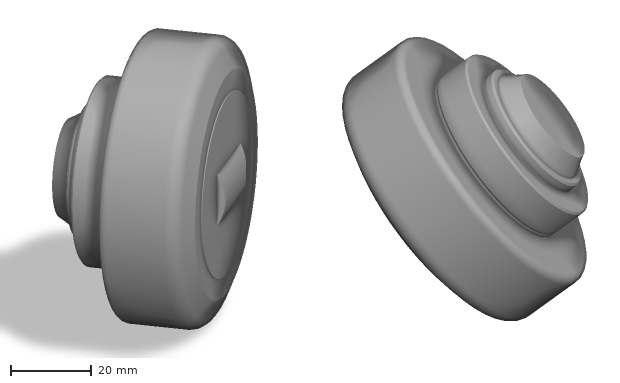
import cadquery as cq

collar_start = 4.9
hub_start = 8.0
disc_start = 18.45
tread_end = 35.5
bevel_start = 39.4
disc_end = 41.5
overall_length = 44.0

stud_radius = 12.5
stud_base_radius = 15.5
collar_radius = 17.5
hub_radius = 24.0
disc_radius = 36.9
bevel_radius = 34.2
disc_face_radius = 29.1
cover_radius = 23.6

stud_flare_sag = 0.15
edge_chamfer = 0.5
collar_fillet = 0.45
groove_depth = 0.45
groove_end_gap = 0.3
disc_round = 2.1
cover_step = 0.3
cover_apex = 42.15

bar_half_width = 6.8
bar_half_length = 10.8
bar_corner_round = 1.7
bar_embed = 0.6


def make_body():
    """Stud, collar, hub, disc and cover turned about the X axis."""
    groove_end = disc_start - groove_end_gap
    groove_bottom = groove_end - groove_depth
    groove_start = groove_bottom - groove_depth
    dome_rise = cover_apex - disc_end - cover_step
    dome_radius = (cover_radius**2 + dome_rise**2) / (2 * dome_rise)
    stud_mid_radius = (stud_radius + stud_base_radius) / 2 - stud_flare_sag
    profile = (
        cq.Workplane("XY")
        .moveTo(0, 0)
        .lineTo(0, stud_radius)
        .threePointArc((collar_start / 2, stud_mid_radius), (collar_start, stud_base_radius))
        .lineTo(collar_start, collar_radius - edge_chamfer)
        .lineTo(collar_start + edge_chamfer, collar_radius)
        .lineTo(hub_start - collar_fillet, collar_radius)
        .radiusArc((hub_start, collar_radius + collar_fillet), -collar_fillet)
        .lineTo(hub_start, hub_radius - edge_chamfer)
        .lineTo(hub_start + edge_chamfer, hub_radius)
        .lineTo(groove_start, hub_radius)
        .lineTo(groove_bottom, hub_radius - groove_depth)
        .lineTo(groove_end, hub_radius)
        .lineTo(disc_start, hub_radius)
        .lineTo(disc_start, disc_radius - disc_round)
        .radiusArc((disc_start + disc_round, disc_radius), disc_round)
        .lineTo(tread_end, disc_radius)
        .tangentArcPoint((bevel_start, bevel_radius), relative=False)
        .lineTo(disc_end, disc_face_radius)
        .lineTo(disc_end, cover_radius)
        .lineTo(disc_end + cover_step, cover_radius)
        .radiusArc((cover_apex, 0), dome_radius)
        .close()
    )
    return profile.revolve(360, (0, 0, 0), (1, 0, 0))


def make_bar():
    """Bar along Y with a crowned outer face and rounded ends."""
    base = cover_apex - bar_embed
    crowned = (
        cq.Workplane("XZ")
        .moveTo(base, -bar_half_width)
        .lineTo(cover_apex, -bar_half_width)
        .threePointArc((overall_length, 0), (cover_apex, bar_half_width))
        .lineTo(base, bar_half_width)
        .close()
        .extrude(bar_half_length, both=True)
    )
    rounded = (
        cq.Workplane("XY")
        .moveTo(base, -bar_half_length)
        .lineTo(overall_length - bar_corner_round, -bar_half_length)
        .radiusArc((overall_length, bar_corner_round - bar_half_length), -bar_corner_round)
        .lineTo(overall_length, bar_half_length - bar_corner_round)
        .radiusArc((overall_length - bar_corner_round, bar_half_length), -bar_corner_round)
        .lineTo(base, bar_half_length)
        .close()
        .extrude(bar_half_width, both=True)
    )
    return crowned.intersect(rounded)


result = make_body().union(make_bar())